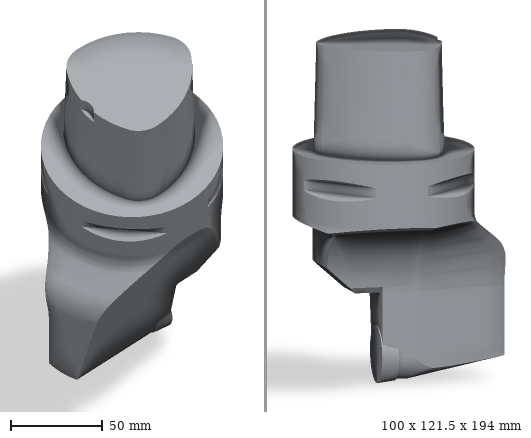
import cadquery as cq
import math


def tan_deg(angle):
    return math.tan(math.radians(angle))


def polar(center, radius, angle):
    """Point on a circle, with the angle in degrees from the first axis of the plane."""
    turn = math.radians(angle)
    return (center[0] + radius * math.cos(turn), center[1] + radius * math.sin(turn))


SHANK_LENGTH = 60.0
SHANK_TIP_REACH = 38.9
SHANK_FLANK_REACH = 33.2
SHANK_SIDE_TAPER = 1.5
CORNER_CENTER_OFFSET = (SHANK_TIP_REACH - SHANK_FLANK_REACH) / (2 - math.sqrt(3))
CORNER_RADIUS = SHANK_TIP_REACH - CORNER_CENTER_OFFSET
FLANK_RADIUS = SHANK_FLANK_REACH + CORNER_CENTER_OFFSET

NOTCH_DIAMETER = 17.0
NOTCH_DEPTH = 8.3
NOTCH_CENTER_Y = -37.8

FLANGE_RADIUS = 50.0
FLANGE_HEIGHT = 36.2

POCKET_FLOOR_DISTANCE = 44.2
POCKET_CENTER_Z = -16.0
POCKET_FLOOR_HEIGHT = 5.6
POCKET_MOUTH_HEIGHT = 11.2

BLADE_OUTER_RADIUS = 72.7
UNDER_FLANGE_FILLET = 10.0
SHOULDER_ANGLE = 40.0
SHOULDER_RADIUS = 20.0

INSERT_RADIUS = 16.0
INSERT_THICKNESS = 9.8
INSERT_CLEARANCE_ANGLE = 7.0
INSERT_X = 19.0
INSERT_Z = -118.0

NOSE_RADIUS = 14.0
BLADE_LEFT_X = INSERT_X - NOSE_RADIUS
RIGHT_SIDE_ANGLE = 10.0
RIGHT_BLEND_START_Z = -44.0
RIGHT_BLEND_END_Z = -30.6
LEFT_ARC_RADIUS = 40.0
LEFT_ARC_END_Z = -81.1
UNDERSIDE_ANGLE = 15.0

RELIEF_START_Y = -20.2
RELIEF_ANGLE = 11.0

BOTTOM_RELIEF_SECTIONS = [(-17.0, 20.0, -132.1, 18.0), (-74.0, 29.0, -122.0, 50.0)]
BOTTOM_RELIEF_HALF_ANGLE = 60.0

NECK_REAR_Y = 31.3
NECK_FILLET = 8.0
REAR_UNDERSIDE_START_Z = -37.0
BLADE_FRONT_Y = -0.6

STEP_EDGE_Z = -81.6
STEP_CORNER_Y = 13.9
STEP_CHAMFER_ANGLE = 42.0
STEP_FILLET = 2.0
STEP_FALL = 0.06
STEP_BEVEL_TOP_Z = -78.3
STEP_BEVEL_REACH = 10.0

OUTSIDE = 80.0
BELOW = -145.0


def build_shank():
    tip_angles = [90, 210, 330]
    centers = [polar((0, 0), CORNER_CENTER_OFFSET, angle) for angle in tip_angles]
    outline = cq.Workplane("XY").moveTo(*polar(centers[0], CORNER_RADIUS, tip_angles[0] - 30))
    for index, angle in enumerate(tip_angles):
        center = centers[index]
        opposite = centers[index - 1]
        next_angle = angle + 120
        outline = outline.threePointArc(
            polar(center, CORNER_RADIUS, angle), polar(center, CORNER_RADIUS, angle + 30)
        )
        outline = outline.threePointArc(
            polar(opposite, FLANK_RADIUS, angle + 60),
            polar(opposite, FLANK_RADIUS, next_angle - 30),
        )
    taper = math.degrees(math.atan(SHANK_SIDE_TAPER / SHANK_LENGTH))
    shank = outline.close().extrude(SHANK_LENGTH, taper=taper)
    notch = (
        cq.Workplane("XY", origin=(0, NOTCH_CENTER_Y, SHANK_LENGTH - NOTCH_DEPTH))
        .circle(NOTCH_DIAMETER / 2)
        .extrude(NOTCH_DEPTH)
    )
    return shank.cut(notch)


def build_turned_blank():
    """Flange and outer blade surface as one solid of revolution."""
    turn = 90 - SHOULDER_ANGLE
    fillet_center = (FLANGE_RADIUS + UNDER_FLANGE_FILLET, -FLANGE_HEIGHT)
    fillet_middle = polar(fillet_center, UNDER_FLANGE_FILLET, 180 + turn / 2)
    fillet_end = polar(fillet_center, UNDER_FLANGE_FILLET, 180 + turn)
    shoulder_x = BLADE_OUTER_RADIUS - SHOULDER_RADIUS
    shoulder_start_x = polar((shoulder_x, 0), SHOULDER_RADIUS, turn)[0]
    shoulder_start_z = fillet_end[1] - (shoulder_start_x - fillet_end[0]) * tan_deg(SHOULDER_ANGLE)
    shoulder_z = shoulder_start_z - SHOULDER_RADIUS * math.sin(math.radians(turn))
    shoulder_center = (shoulder_x, shoulder_z)
    return (
        cq.Workplane("XZ")
        .lineTo(FLANGE_RADIUS, 0)
        .lineTo(FLANGE_RADIUS, -FLANGE_HEIGHT)
        .threePointArc(fillet_middle, fillet_end)
        .lineTo(shoulder_start_x, shoulder_start_z)
        .threePointArc(
            polar(shoulder_center, SHOULDER_RADIUS, turn / 2), (BLADE_OUTER_RADIUS, shoulder_z)
        )
        .lineTo(BLADE_OUTER_RADIUS, BELOW)
        .lineTo(0, BELOW)
        .close()
        .revolve(360, (0, 0, 0), (0, 1, 0))
    )


def left_side(outline, growth=0.0):
    """Draw the sloped underside and the large arc, moved into the blade by the growth."""
    center = (BLADE_LEFT_X - LEFT_ARC_RADIUS, LEFT_ARC_END_Z)
    radius = LEFT_ARC_RADIUS + growth
    arc_start = polar(center, radius, 90 - UNDERSIDE_ANGLE)
    arc_middle = polar(center, radius, (90 - UNDERSIDE_ANGLE) / 2)
    underside_z = arc_start[1] + (OUTSIDE + arc_start[0]) * tan_deg(UNDERSIDE_ANGLE)
    return (
        outline.moveTo(-OUTSIDE, underside_z)
        .lineTo(*arc_start)
        .threePointArc(arc_middle, (BLADE_LEFT_X + growth, LEFT_ARC_END_Z))
    )


def build_blade_envelope():
    """Prism along Y that bounds the blade on its left, bottom and right."""
    nose = (INSERT_X, INSERT_Z)
    nose_end = polar(nose, NOSE_RADIUS, -RIGHT_SIDE_ANGLE)
    blend_x = nose_end[0] + (RIGHT_BLEND_START_Z - nose_end[1]) * tan_deg(RIGHT_SIDE_ANGLE)
    outline = cq.Workplane("XZ", origin=(0, OUTSIDE, 0))
    return (
        left_side(outline)
        .lineTo(BLADE_LEFT_X, INSERT_Z)
        .threePointArc(polar(nose, NOSE_RADIUS, -90), nose_end)
        .lineTo(blend_x, RIGHT_BLEND_START_Z)
        .tangentArcPoint((FLANGE_RADIUS, RIGHT_BLEND_END_Z), relative=False)
        .lineTo(OUTSIDE, 0)
        .lineTo(-OUTSIDE, 0)
        .close()
        .extrude(2 * OUTSIDE)
    )


def build_side_relief():
    """Left side profile growing into the blade at the relief angle behind the insert."""
    wires = []
    for y in (RELIEF_START_Y, -OUTSIDE):
        growth = (RELIEF_START_Y - y) * tan_deg(RELIEF_ANGLE)
        outline = left_side(cq.Workplane("XZ", origin=(0, y, 0)), growth)
        section = outline.lineTo(BLADE_LEFT_X + growth, BELOW).lineTo(-OUTSIDE, BELOW).close()
        wires.append(section.val())
    return cq.Workplane(cq.Solid.makeLoft(wires, True))


def build_bottom_relief():
    wires = []
    for y, center_x, lowest_z, radius in BOTTOM_RELIEF_SECTIONS:
        center = (center_x, lowest_z + radius)
        left = polar(center, radius, -90 - BOTTOM_RELIEF_HALF_ANGLE)
        right = polar(center, radius, -90 + BOTTOM_RELIEF_HALF_ANGLE)
        section = (
            cq.Workplane("XZ", origin=(0, y, 0))
            .moveTo(*left)
            .threePointArc((center_x, lowest_z), right)
            .lineTo(right[0], BELOW)
            .lineTo(left[0], BELOW)
            .close()
        )
        wires.append(section.val())
    return cq.Workplane(cq.Solid.makeLoft(wires, True))


def build_rear_cut():
    """Space behind the neck: sloped underside, fillet and flat rear face."""
    fillet_y = NECK_REAR_Y + NECK_FILLET
    fillet_start_y = fillet_y - NECK_FILLET * math.sin(math.radians(UNDERSIDE_ANGLE))
    fillet_start_z = REAR_UNDERSIDE_START_Z - (FLANGE_RADIUS - fillet_start_y) * tan_deg(UNDERSIDE_ANGLE)
    fillet_z = fillet_start_z - NECK_FILLET * math.cos(math.radians(UNDERSIDE_ANGLE))
    outer_z = REAR_UNDERSIDE_START_Z + (OUTSIDE - FLANGE_RADIUS) * tan_deg(UNDERSIDE_ANGLE)
    middle = polar((fillet_y, fillet_z), NECK_FILLET, 90 + (90 + UNDERSIDE_ANGLE) / 2)
    return (
        cq.Workplane("YZ", origin=(-OUTSIDE, 0, 0))
        .moveTo(OUTSIDE, outer_z)
        .lineTo(fillet_start_y, fillet_start_z)
        .threePointArc(middle, (NECK_REAR_Y, fillet_z))
        .lineTo(NECK_REAR_Y, BELOW)
        .lineTo(OUTSIDE, BELOW)
        .close()
        .extrude(2 * OUTSIDE)
    )


def build_neck_corner_cut():
    """Ring quadrant that trims the rear right corner of the neck to the flange radius."""
    block = cq.Workplane("XY", origin=(0, 0, BELOW)).rect(OUTSIDE, OUTSIDE, centered=False).extrude(-BELOW)
    return block.cut(cq.Workplane("XY", origin=(0, 0, BELOW)).circle(FLANGE_RADIUS).extrude(-BELOW))


def build_step_cut():
    """Chamfer, step and blade front, cut from left to right along the falling direction."""
    chamfer_top_z = STEP_EDGE_Z + (OUTSIDE - STEP_CORNER_Y) * tan_deg(STEP_CHAMFER_ANGLE)
    wire = (
        cq.Workplane("YZ", origin=(BLADE_LEFT_X, 0, 0))
        .moveTo(OUTSIDE, chamfer_top_z)
        .lineTo(STEP_CORNER_Y, STEP_EDGE_Z)
        .lineTo(BLADE_FRONT_Y + STEP_FILLET, STEP_EDGE_Z)
        .radiusArc((BLADE_FRONT_Y, STEP_EDGE_Z - STEP_FILLET), -STEP_FILLET)
        .lineTo(BLADE_FRONT_Y, BELOW)
        .lineTo(OUTSIDE, BELOW)
        .close()
        .val()
    )
    face = cq.Face.makeFromWires(wire)
    direction = cq.Vector(1, 0, -STEP_FALL) * (2 * OUTSIDE)
    return cq.Workplane(cq.Solid.extrudeLinear(face, direction)).translate(direction * -0.5)


def build_step_bevel():
    """45 degree bevel along the left edge of the step."""
    return (
        cq.Workplane("XZ", origin=(0, BLADE_FRONT_Y, 0))
        .moveTo(BLADE_LEFT_X - STEP_BEVEL_REACH, STEP_BEVEL_TOP_Z + STEP_BEVEL_REACH)
        .lineTo(BLADE_LEFT_X + STEP_BEVEL_REACH, STEP_BEVEL_TOP_Z - STEP_BEVEL_REACH)
        .lineTo(BLADE_LEFT_X - STEP_BEVEL_REACH, STEP_BEVEL_TOP_Z - STEP_BEVEL_REACH)
        .close()
        .extrude(BLADE_FRONT_Y - NECK_REAR_Y)
    )


def build_gripper_pocket(angle):
    mouth_slope = (POCKET_MOUTH_HEIGHT - POCKET_FLOOR_HEIGHT) / 2 / (FLANGE_RADIUS - POCKET_FLOOR_DISTANCE)
    floor_half = POCKET_FLOOR_HEIGHT / 2
    outer_half = floor_half + mouth_slope * (OUTSIDE - POCKET_FLOOR_DISTANCE)
    return (
        cq.Workplane("XZ", origin=(0, OUTSIDE, POCKET_CENTER_Z))
        .moveTo(POCKET_FLOOR_DISTANCE, -floor_half)
        .lineTo(OUTSIDE, -outer_half)
        .lineTo(OUTSIDE, outer_half)
        .lineTo(POCKET_FLOOR_DISTANCE, floor_half)
        .close()
        .extrude(2 * OUTSIDE)
        .rotate((0, 0, 0), (0, 0, 1), angle)
    )


def build_insert():
    back_radius = INSERT_RADIUS - INSERT_THICKNESS * tan_deg(INSERT_CLEARANCE_ANGLE)
    return cq.Workplane(
        cq.Solid.makeCone(
            INSERT_RADIUS,
            back_radius,
            INSERT_THICKNESS,
            cq.Vector(INSERT_X, 0, INSERT_Z),
            cq.Vector(0, -1, 0),
        )
    )


def build_holder(insert):
    holder = build_turned_blank().intersect(build_blade_envelope())
    holder = holder.cut(build_side_relief())
    holder = holder.cut(build_bottom_relief())
    holder = holder.cut(build_rear_cut())
    holder = holder.cut(build_neck_corner_cut())
    holder = holder.cut(build_step_cut())
    holder = holder.cut(build_step_bevel())
    for angle in (45, 135, 225, 315):
        holder = holder.cut(build_gripper_pocket(angle))
    return holder.union(build_shank()).cut(insert)


cutting_insert = build_insert()
tool_holder = build_holder(cutting_insert)
result = cq.Compound.makeCompound([tool_holder.val(), cutting_insert.val()])